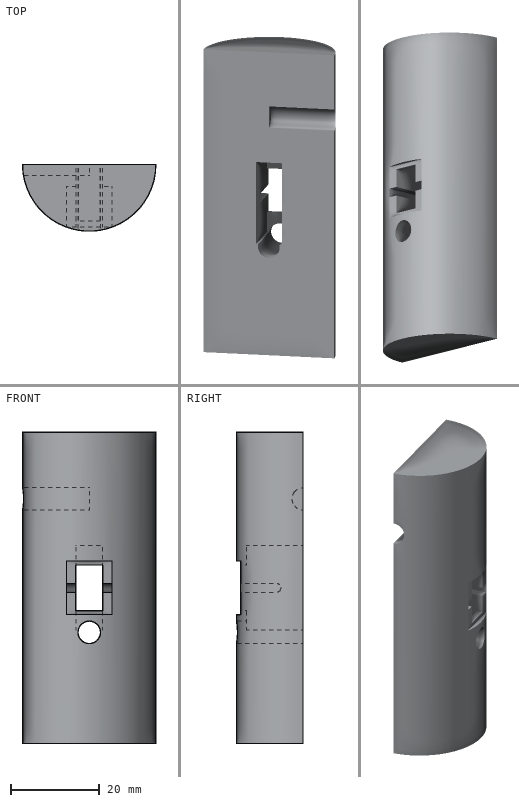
import cadquery as cq

body_radius = 15.0
body_length = 70.0

recess_width = 10.2
recess_height = 12.0
recess_depth = 1.0
recess_floor_y = -body_radius + recess_depth

window_width = 6.0
window_height = 10.2
window_wall = 1.3

cavity_height = 19.0
cavity_front_y = recess_floor_y + window_wall

slot_height = 2.0
slot_end_y = -5.0

hole_diameter = 5.0
hole_z = -10.0

groove_diameter = 5.0
groove_z = 20.0


def make_body():
    """Half cylinder standing along Z."""
    return (
        cq.Workplane("XY", origin=(0, 0, -body_length / 2))
        .moveTo(-body_radius, 0)
        .threePointArc((0, -body_radius), (body_radius, 0))
        .close()
        .extrude(body_length)
    )


def make_block(width, height, start_y, end_y):
    """Rectangular cutter centred on X = 0, Z = 0, reaching from start_y to end_y."""
    depth = end_y - start_y
    return cq.Workplane("XY").box(width, depth, height).translate((0, (start_y + end_y) / 2, 0))


def make_pivot_slot():
    """Slot cutter open towards -Y, with a half-round inner end."""
    slot_radius = slot_height / 2
    round_center_y = slot_end_y - slot_radius
    straight_part = make_block(recess_width, slot_height, -body_radius, round_center_y)
    round_end = (
        cq.Workplane("YZ", origin=(-recess_width / 2, 0, 0))
        .center(round_center_y, 0)
        .circle(slot_radius)
        .extrude(recess_width)
    )
    return straight_part.union(round_end)


def make_hole():
    """Round cutter along Y, through the full thickness of the body."""
    return (
        cq.Workplane("XZ", origin=(0, 0, hole_z))
        .circle(hole_diameter / 2)
        .extrude(body_radius)
    )


def make_groove():
    """Round cutter along X, with its axis on the flat face."""
    return (
        cq.Workplane("YZ", origin=(-body_radius, 0, groove_z))
        .circle(groove_diameter / 2)
        .extrude(body_radius)
    )


recess = make_block(recess_width, recess_height, -body_radius, recess_floor_y)
window = make_block(window_width, window_height, -body_radius, cavity_front_y)
cavity = make_block(window_width, cavity_height, cavity_front_y, 0)

result = (
    make_body()
    .cut(recess)
    .cut(window)
    .cut(cavity)
    .cut(make_pivot_slot())
    .cut(make_hole())
    .cut(make_groove())
)